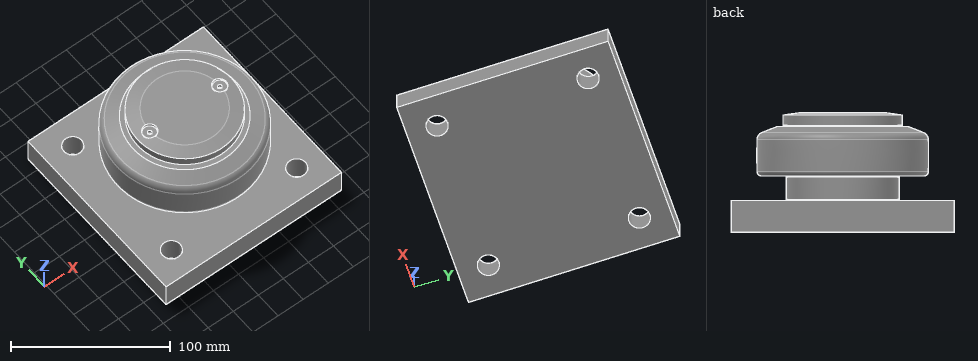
import cadquery as cq

plate_side = 140.0
plate_thickness = 20.0
bolt_spacing = 100.0
bolt_hole_diameter = 13.84

shaft_diameter = 69.3
gap_height = 0.6

collar_diameter = 71.0

roller_diameter = 107.9
crown_height = 0.1
roller_bottom = 35.2
crown_bottom = 38.2
crown_top = 58.0
shoulder_diameter = 101.0
shoulder_height = 62.7
roller_top_diameter = 82.0
roller_top = 66.4
bottom_corner_radius = 3.0

cap_diameter = 75.0
cap_flat_diameter = 56.0
cap_rim_height = 73.5
cap_top = 74.95

pocket_mouth_diameter = 10.4
pocket_floor_diameter = 9.75
pocket_depth = 1.75
port_diameter = 3.0
port_depth = 3.0


def make_plate():
    """Square plate with a bolt hole near each corner."""
    return (
        cq.Workplane("XY")
        .rect(plate_side, plate_side)
        .extrude(plate_thickness)
        .faces(">Z")
        .workplane()
        .rect(bolt_spacing, bolt_spacing, forConstruction=True)
        .vertices()
        .hole(bolt_hole_diameter)
    )


def make_cylinder(diameter, bottom, top):
    """Upright cylinder on the Z axis between two heights."""
    return cq.Workplane("XY", origin=(0, 0, bottom)).circle(diameter / 2).extrude(top - bottom)


def revolve_about_z(half_profile):
    """Turn a closed XZ half profile into a solid about the Z axis."""
    return half_profile.close().revolve(360, (0, 0, 0), (0, 1, 0))


def make_roller():
    """Crowned ring with rounded corners and a sloping upper shoulder."""
    crown_radius = roller_diameter / 2
    face_radius = crown_radius - crown_height
    crown_middle = (crown_bottom + crown_top) / 2
    return revolve_about_z(
        cq.Workplane("XZ")
        .moveTo(0, roller_bottom)
        .lineTo(face_radius - bottom_corner_radius, roller_bottom)
        .tangentArcPoint((face_radius, crown_bottom), relative=False)
        .threePointArc((crown_radius, crown_middle), (face_radius, crown_top))
        .tangentArcPoint((shoulder_diameter / 2, shoulder_height), relative=False)
        .lineTo(roller_top_diameter / 2, roller_top)
        .lineTo(0, roller_top)
    )


def make_cap():
    """Disc above the roller whose rim slopes down from the flat centre."""
    cap_bottom = roller_top + gap_height
    return revolve_about_z(
        cq.Workplane("XZ")
        .moveTo(0, cap_bottom)
        .lineTo(cap_diameter / 2, cap_bottom)
        .lineTo(cap_diameter / 2, cap_rim_height)
        .lineTo(cap_flat_diameter / 2, cap_top)
        .lineTo(0, cap_top)
    )


def make_pocket_cutter(x):
    """Tapered pocket with a port in its floor, as a solid to cut away."""
    floor = cap_top - pocket_depth
    pocket = (
        cq.Workplane("XY", origin=(x, 0, floor))
        .circle(pocket_floor_diameter / 2)
        .workplane(offset=pocket_depth)
        .circle(pocket_mouth_diameter / 2)
        .loft()
    )
    port = cq.Workplane("XY", origin=(x, 0, floor - port_depth)).circle(port_diameter / 2).extrude(port_depth)
    return pocket.union(port)


shaft = make_cylinder(shaft_diameter, plate_thickness, cap_rim_height)
collar = make_cylinder(collar_diameter, plate_thickness + gap_height, roller_bottom - gap_height)

result = make_plate().union(shaft).union(collar).union(make_roller()).union(make_cap())
for side in (-1, 1):
    result = result.cut(make_pocket_cutter(side * cap_flat_diameter / 2))